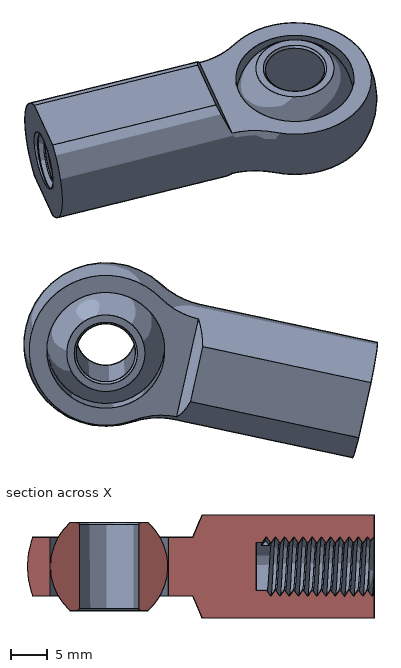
import cadquery as cq
import math

overall_length = 47.1
eye_radius = 11.1
eye_thickness = 8.0
shank_radius = 8.0
shank_thickness = 14.0
shank_end_y = eye_radius - overall_length
neck_radius = 11.1
ramp_length = 1.25

ball_radius = 8.0
ball_width = 12.0
ball_bore_radius = 4.0
ball_bore_chamfer = 0.3

thread_major_radius = 4.0
thread_minor_radius = 3.25
thread_pitch = 1.25
thread_depth = 16.0
groove_mouth = 0.95 * thread_pitch
groove_overrun = 0.1

neck_center_x = shank_radius + neck_radius
neck_center_y = -math.sqrt((eye_radius + neck_radius) ** 2 - neck_center_x ** 2)


def make_blank():
    """Sphere, concave neck and cylinder turned about the Y axis."""
    tangent_share = eye_radius / (eye_radius + neck_radius)
    eye_tangent = (neck_center_x * tangent_share, neck_center_y * tangent_share)
    middle_angle = (math.pi + math.atan2(-neck_center_y, -neck_center_x)) / 2
    neck_middle = (
        neck_center_x + neck_radius * math.cos(middle_angle),
        neck_center_y + neck_radius * math.sin(middle_angle),
    )
    return (
        cq.Workplane("XY")
        .moveTo(0, eye_radius)
        .threePointArc((eye_radius, 0), eye_tangent)
        .threePointArc(neck_middle, (shank_radius, neck_center_y))
        .lineTo(shank_radius, shank_end_y)
        .lineTo(0, shank_end_y)
        .close()
        .revolve(360, (0, 0, 0), (0, 1, 0))
    )


def make_side_envelope():
    """Side outline with the eye faces, ramps and shank flats, extruded across X."""
    eye_half = eye_thickness / 2
    shank_half = shank_thickness / 2
    ramp_end_y = neck_center_y - ramp_length
    return (
        cq.Workplane("YZ")
        .polyline([
            (eye_radius, eye_half),
            (neck_center_y, eye_half),
            (ramp_end_y, shank_half),
            (shank_end_y, shank_half),
            (shank_end_y, -shank_half),
            (ramp_end_y, -shank_half),
            (neck_center_y, -eye_half),
            (eye_radius, -eye_half),
        ])
        .close()
        .extrude(eye_radius, both=True)
    )


def place_in_shank(cutter):
    """Turn a cutter built along +Z to run along +Y from the shank end."""
    return cutter.rotate((0, 0, 0), (1, 0, 0), -90).translate((0, shank_end_y, 0))


def make_tapping_bore():
    """Blind bore at the minor diameter, countersunk to the major diameter."""
    countersink_depth = thread_major_radius - thread_minor_radius
    bore = (
        cq.Workplane("XZ")
        .polyline([
            (0, 0),
            (thread_major_radius, 0),
            (thread_minor_radius, countersink_depth),
            (thread_minor_radius, thread_depth),
            (0, thread_depth),
        ])
        .close()
        .revolve(360, (0, 0, 0), (0, 1, 0))
    )
    return place_in_shank(bore)


def make_thread_groove():
    """Helical V groove that ends one pitch short of the bore bottom."""
    helix = cq.Wire.makeHelix(thread_pitch, thread_depth - thread_pitch, thread_minor_radius)
    mouth_radius = thread_minor_radius - groove_overrun
    groove = (
        cq.Workplane("XZ")
        .polyline([
            (mouth_radius, -groove_mouth / 2),
            (thread_major_radius, 0),
            (mouth_radius, groove_mouth / 2),
        ])
        .close()
        .sweep(cq.Workplane(helix), isFrenet=True)
    )
    return place_in_shank(groove)


def make_housing():
    eye_bore = cq.Workplane("XY").circle(ball_radius).extrude(eye_thickness, both=True)
    housing = make_blank().intersect(make_side_envelope())
    housing = housing.cut(eye_bore)
    housing = housing.cut(make_tapping_bore())
    return housing.cut(make_thread_groove())


def make_ball():
    """Sphere with flat ends and a through bore chamfered at both ends."""
    half_width = ball_width / 2
    rim_radius = math.sqrt(ball_radius ** 2 - half_width ** 2)
    mouth_radius = ball_bore_radius + ball_bore_chamfer
    chamfer_start_z = half_width - ball_bore_chamfer
    return (
        cq.Workplane("XZ")
        .moveTo(rim_radius, -half_width)
        .threePointArc((ball_radius, 0), (rim_radius, half_width))
        .lineTo(mouth_radius, half_width)
        .lineTo(ball_bore_radius, chamfer_start_z)
        .lineTo(ball_bore_radius, -chamfer_start_z)
        .lineTo(mouth_radius, -half_width)
        .close()
        .revolve(360, (0, 0, 0), (0, 1, 0))
    )


housing = make_housing()
ball = make_ball()
result = cq.Compound.makeCompound([*housing.solids().vals(), ball.val()])